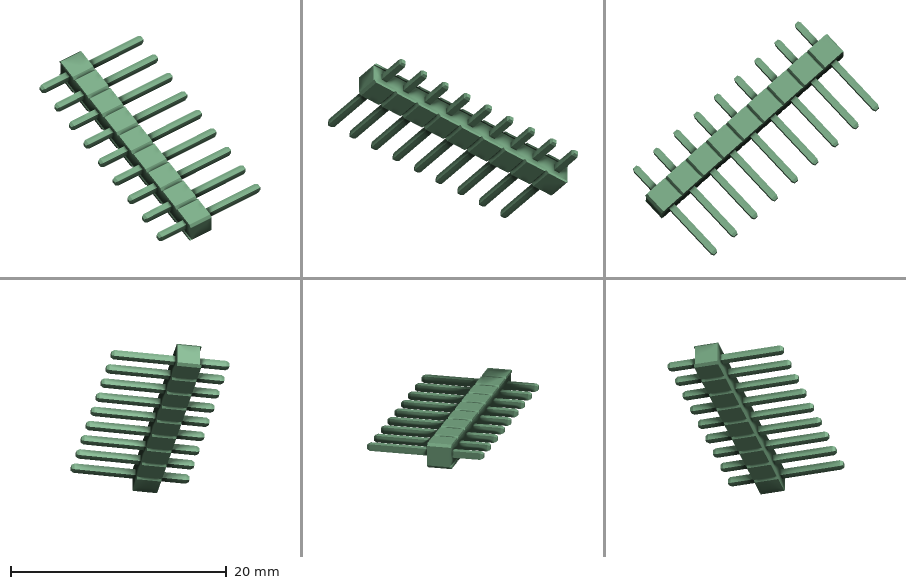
import cadquery as cq

cell_count = 9
row_length = 22.85
pitch = row_length / cell_count

block_depth = 2.29
block_height = 2.4
bevel_width = 0.23
bevel_height = 0.25
recess_depth = 0.14

pin_length = 11.1
pin_width = 0.65
pin_front_reach = 2.81
tip_length = 0.27
tip_inset = 0.11

pin_front_y = -pin_front_reach
recess_height = block_height - 2 * bevel_height


def make_block():
    """Block with beveled long edges and a recessed front face between two lips."""
    half_width = pitch / 2
    half_height = block_height / 2
    flat_half = half_width - bevel_width
    wall_half = half_height - bevel_height
    outline = [
        (-flat_half, -half_height),
        (flat_half, -half_height),
        (half_width, -wall_half),
        (half_width, wall_half),
        (flat_half, half_height),
        (-flat_half, half_height),
        (-half_width, wall_half),
        (-half_width, -wall_half),
    ]
    block = cq.Workplane("XZ").polyline(outline).close().extrude(-block_depth)
    recess = cq.Workplane("XZ").rect(pitch, recess_height).extrude(-recess_depth)
    return block.cut(recess)


def make_pin():
    """Square bar with a short tapered tip at each end."""
    front_shoulder_y = pin_front_y + tip_length
    rear_shoulder_y = pin_front_y + pin_length - tip_length
    tip_width = pin_width - 2 * tip_inset

    def tip(shoulder_y, end_y):
        return (
            cq.Workplane("XZ", origin=(0, shoulder_y, 0))
            .rect(pin_width, pin_width)
            .workplane(offset=shoulder_y - end_y)
            .rect(tip_width, tip_width)
            .loft(ruled=True)
        )

    bar = (
        cq.Workplane("XZ", origin=(0, front_shoulder_y, 0))
        .rect(pin_width, pin_width)
        .extrude(front_shoulder_y - rear_shoulder_y)
    )
    front_tip = tip(front_shoulder_y, pin_front_y)
    rear_tip = tip(rear_shoulder_y, pin_front_y + pin_length)
    return bar.union(front_tip).union(rear_tip)


def make_header_cell(index):
    """One block with its pin as a single solid, at its place in the row."""
    center_x = (index - (cell_count - 1) / 2) * pitch
    return make_block().union(make_pin()).translate((center_x, 0, 0))


header_cells = [make_header_cell(index) for index in range(cell_count)]

result = cq.Compound.makeCompound([cell.solids().val() for cell in header_cells])